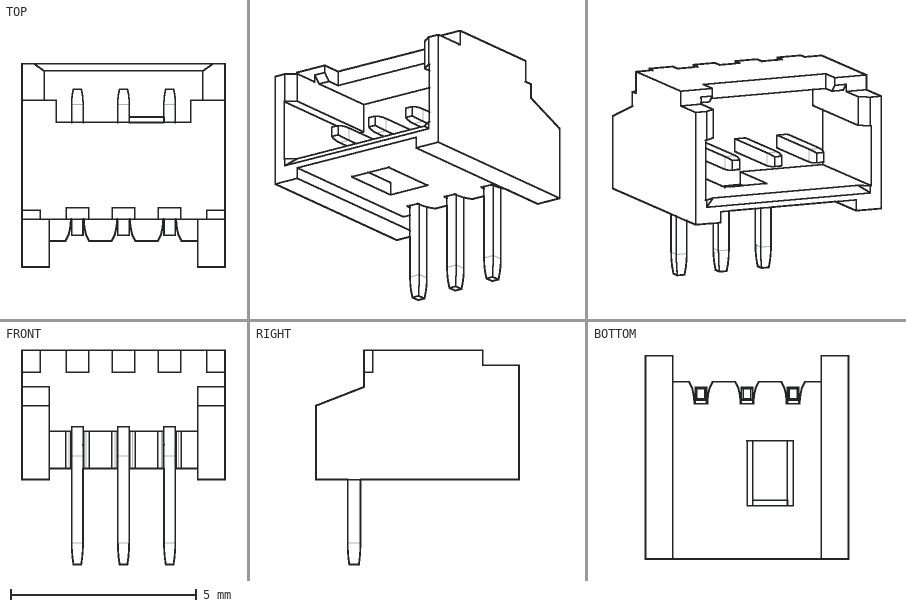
import cadquery as cq
import math

width = 5.5
total_depth = 5.5
total_height = 5.8
height = 3.505
leg_length = 1.3
back = total_depth - leg_length
wall = 0.605

pin_count = 3
pitch = 1.245
pin_width = 0.315
pin_thickness = 0.355
pin_front_y = -0.44
bend_radius = 0.935
bend_bottom_z = 0.645
mating_tip_gap = 0.69
mating_tip_length = 0.405
tail_tip_length = 0.6
tip_width = 0.215
tip_thickness = 0.265
pin_xs = [(i - (pin_count - 1) / 2) * pitch for i in range(pin_count)]

leg_width = 0.75
leg_gap = width - 2 * leg_width
leg_root_z = height - 1.0
leg_end_z = height - 1.5

top_wall = 0.405
floor_thickness = 0.355
underside = 0.3
floor = underside + floor_thickness
front_wall = 1.0
mouth_depth = 0.2
mouth_side = 0.28
mouth_rise = 0.2
side_recess_top = 2.31
side_recess_wall = 0.3
side_step_depth = 0.985
side_step_drop = top_wall
top_notch_width = 3.625
top_notch_depth = 0.605
window_back_gap = 1.445

notch_width = 0.605
notch_depth = 0.31
notch_height = 0.6
corner_notch_width = 0.505
corner_notch_depth = 0.245

ledge_depth = 0.6
ledge_top = 1.31
slot_half_root = 0.175
slot_half_flare = 0.23
slot_half_mouth = 0.32
flare_start = 0.425


def box(x0, x1, y0, y1, z0, z1):
    return cq.Workplane("XY").box(x1 - x0, y1 - y0, z1 - z0, centered=False).translate((x0, y0, z0))


def centred_box(x, size_x, y0, y1, z0, z1):
    return box(x - size_x / 2, x + size_x / 2, y0, y1, z0, z1)


def make_shell():
    """Side profile of the housing, cleared between the legs and raised under the floor."""
    profile = [
        (-leg_length, 0),
        (back, 0),
        (back, height - side_step_drop),
        (back - side_step_depth, height - side_step_drop),
        (back - side_step_depth, height),
        (0, height),
        (0, leg_root_z),
        (-leg_length, leg_end_z),
    ]
    shell = cq.Workplane("YZ").polyline(profile).close().extrude(width / 2, both=True)
    shell = shell.cut(centred_box(0, leg_gap, -leg_length, 0, 0, height))
    return shell.cut(centred_box(0, leg_gap, -leg_length, back, 0, underside))


def make_cavity():
    """Mating cavity with its flared mouth, side recesses and the cut-outs in the top wall."""
    inner_width = width - 2 * wall
    ceiling = height - top_wall
    step_y = back - side_step_depth
    cavity = centred_box(0, inner_width, front_wall, back, floor, ceiling)

    cavity = cavity.union(centred_box(0, inner_width, step_y, back, floor, height))
    cavity = cavity.union(centred_box(0, top_notch_width, step_y - top_notch_depth, back, floor, height))

    mouth_half = inner_width / 2 + mouth_side
    side_flare = [
        (-inner_width / 2, back - mouth_depth),
        (-mouth_half, back),
        (mouth_half, back),
        (inner_width / 2, back - mouth_depth),
    ]
    flare = cq.Workplane("XY").polyline(side_flare).close().extrude(height)
    floor_flare = [
        (back - mouth_depth, floor),
        (back, floor - mouth_rise),
        (back, height),
        (back - mouth_depth, height),
    ]
    ramp = cq.Workplane("YZ").polyline(floor_flare).close().extrude(mouth_half, both=True)
    cavity = cavity.union(flare.intersect(ramp))

    top_flare = [
        (step_y, ceiling + mouth_rise),
        (step_y, ceiling),
        (step_y - mouth_depth, ceiling),
    ]
    cavity = cavity.union(
        cq.Workplane("YZ").polyline(top_flare).close().extrude(inner_width / 2, both=True)
    )

    recess_width = width - 2 * side_recess_wall
    return cavity.union(centred_box(0, recess_width, front_wall, back, floor, side_recess_top))


def make_floor_window():
    """Opening through the floor between the middle pin and the +X pin."""
    return box(0, pitch, front_wall, back - window_back_gap, underside, floor)


def make_edge_notches():
    """One notch above each pin and one at each end of the upper edge."""
    bottom = height - notch_height
    corner_x = (width - corner_notch_width) / 2
    notches = cq.Workplane("XY")
    for x in pin_xs:
        notches = notches.union(centred_box(x, notch_width, 0, notch_depth, bottom, height))
    for x in (-corner_x, corner_x):
        notches = notches.union(centred_box(x, corner_notch_width, 0, corner_notch_depth, bottom, height))
    return notches


def tangent_arc_mid_inset(inset, length):
    """Sideways shift, at half its length, of an arc tangent to a straight side at its start."""
    radius = (inset**2 + length**2) / (2 * inset)
    return radius - math.sqrt(radius**2 - (length / 2) ** 2)


def make_ledge():
    """Ledge on the outer wall, with a slot per pin that curves and then splays open."""
    ledge = centred_box(0, leg_gap, -ledge_depth, 0, underside, ledge_top)
    mid_half = slot_half_root + tangent_arc_mid_inset(slot_half_flare - slot_half_root, flare_start)
    slot = (
        cq.Workplane("XY")
        .moveTo(slot_half_root, 0)
        .threePointArc((mid_half, -flare_start / 2), (slot_half_flare, -flare_start))
        .lineTo(slot_half_mouth, -ledge_depth)
        .lineTo(-slot_half_mouth, -ledge_depth)
        .lineTo(-slot_half_flare, -flare_start)
        .threePointArc((-mid_half, -flare_start / 2), (-slot_half_root, 0))
        .close()
        .extrude(ledge_top)
    )
    for x in pin_xs:
        ledge = ledge.cut(slot.translate((x, 0, 0)))
    return ledge


def tapered_plate(plane, base_size, end_size, length):
    """Plate along +Z whose two edges curve in, tangent to the straight bar below Z = 0."""
    base = base_size / 2
    end = end_size / 2
    mid = base - tangent_arc_mid_inset(base - end, length)
    return (
        cq.Workplane(plane)
        .moveTo(-base, 0)
        .lineTo(base, 0)
        .threePointArc((mid, length / 2), (end, length))
        .lineTo(-end, length)
        .threePointArc((-mid, length / 2), (-base, 0))
        .close()
        .extrude(pin_thickness, both=True)
    )


def make_tip(length):
    """Pin tip along +Z, tapered in both directions."""
    across = tapered_plate("XZ", pin_width, tip_width, length)
    return across.intersect(tapered_plate("YZ", pin_thickness, tip_thickness, length))


def make_pin():
    """Right-angle pin: mating end along +Y, bend, and tail along -Z."""
    bend_y = pin_front_y + bend_radius
    pin_top = bend_bottom_z + bend_radius
    inner_radius = bend_radius - pin_thickness
    mating_end = back - mating_tip_gap - mating_tip_length
    tail_end = height - total_height + tail_tip_length
    diagonal = math.sqrt(0.5)
    pin = (
        cq.Workplane("YZ")
        .moveTo(pin_front_y, tail_end)
        .lineTo(pin_front_y, bend_bottom_z)
        .threePointArc(
            (bend_y - bend_radius * diagonal, bend_bottom_z + bend_radius * diagonal),
            (bend_y, pin_top),
        )
        .lineTo(mating_end, pin_top)
        .lineTo(mating_end, pin_top - pin_thickness)
        .lineTo(bend_y, pin_top - pin_thickness)
        .threePointArc(
            (bend_y - inner_radius * diagonal, bend_bottom_z + inner_radius * diagonal),
            (pin_front_y + pin_thickness, bend_bottom_z),
        )
        .lineTo(pin_front_y + pin_thickness, tail_end)
        .close()
        .extrude(pin_width / 2, both=True)
    )
    mating_tip = make_tip(mating_tip_length).rotate((0, 0, 0), (1, 0, 0), -90)
    tail_tip = make_tip(tail_tip_length).rotate((0, 0, 0), (1, 0, 0), 180)
    pin = pin.union(mating_tip.translate((0, mating_end, pin_top - pin_thickness / 2)))
    return pin.union(tail_tip.translate((0, pin_front_y + pin_thickness / 2, tail_end)))


result = make_shell().cut(make_cavity()).cut(make_floor_window())
result = result.cut(make_edge_notches()).union(make_ledge())
pin = make_pin()
for pin_x in pin_xs:
    result = result.union(pin.translate((pin_x, 0, 0)))